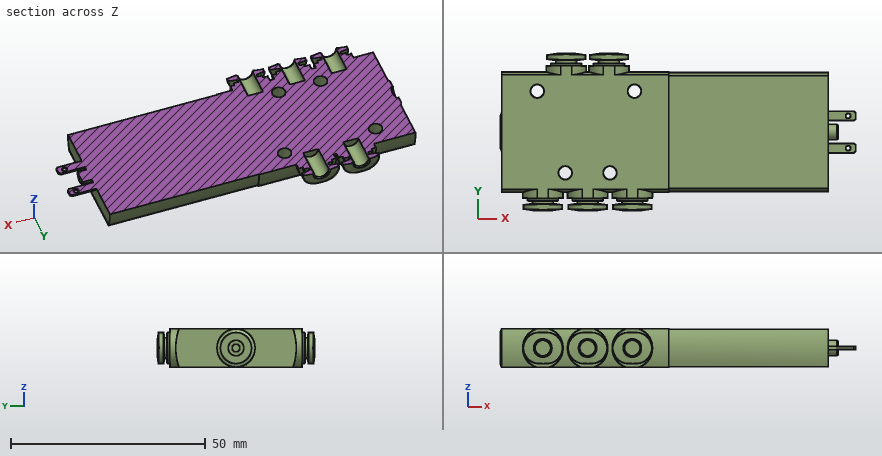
import cadquery as cq
import math

BODY_LENGTH = 43.0
BODY_HEIGHT = 10.0
BODY_SIDE_RADIUS = 15.5
BODY_FLAT_HALF_WIDTH = math.sqrt(BODY_SIDE_RADIUS**2 - (BODY_HEIGHT / 2) ** 2)

SOLENOID_LENGTH = 41.0
SOLENOID_HEIGHT = 9.7
SOLENOID_HALF_WIDTH = 15.35
SOLENOID_FLAT_HALF_WIDTH = 14.45
SOLENOID_END = BODY_LENGTH + SOLENOID_LENGTH

MOUNT_HOLE_DIAMETER = 3.4
MOUNT_HOLE_Y = 10.5
BACK_MOUNT_X = 9.15
BACK_MOUNT_SPACING = 25.0

FITTING_CENTRE_X = 22.1
FRONT_FITTING_PITCH = 11.5
BACK_FITTING_PITCH = 11.0
FITTING_TIP = 20.2
BOSS_DIAMETER = 10.4
BOSS_END = 17.0
SEAT_DIAMETER = 8.0
SEAT_END = 17.75
SEAT_CHAMFER = 0.25
NECK_DIAMETER = 5.4
COLLAR_START = 18.4
COLLAR_SLOPE = 0.15
COLLAR_WIDTH = 10.0
COLLAR_HEIGHT = 8.0
TUBE_DIAMETER = 4.0
TUBE_DEPTH = 8.0
MOUTH_DIAMETER = 4.7
MOUTH_CHAMFER = (MOUTH_DIAMETER - TUBE_DIAMETER) / 2

PLUG_DIAMETER = 9.8
PLUG_FACE_DIAMETER = 8.0
PLUG_PROTRUSION = 0.4
PLUG_RECESS_DIAMETER = 4.0
PLUG_RECESS_DEPTH = 0.6
PLUG_BORE_DIAMETER = 2.0
PLUG_BORE_DEPTH = 0.8

STUB_DIAMETER = 4.0
STUB_LENGTH = 2.5
STUB_CHAMFER = 0.3
TERMINAL_LENGTH = 7.1
TERMINAL_WIDTH = 2.5
TERMINAL_THICKNESS = 0.8
TERMINAL_SPACING = 8.3
TERMINAL_CORNER = 0.5
TERMINAL_HOLE_DIAMETER = 1.2
TERMINAL_HOLE_FROM_TIP = 2.0

OVERLAP = 1.0


def barrel_slab(start_x, length, height, half_width, flat_half_width):
    """Slab along +X with flat top and bottom and arc-shaped long sides."""
    half_height = height / 2
    return (
        cq.Workplane("YZ", origin=(start_x, 0, 0))
        .moveTo(-flat_half_width, half_height)
        .lineTo(flat_half_width, half_height)
        .threePointArc((half_width, 0), (flat_half_width, -half_height))
        .lineTo(-flat_half_width, -half_height)
        .threePointArc((-half_width, 0), (-flat_half_width, half_height))
        .close()
        .extrude(length)
    )


def cylinder_x(start_x, diameter, length):
    """Cylinder on the X axis running toward +X."""
    return cq.Workplane("YZ", origin=(start_x, 0, 0)).circle(diameter / 2).extrude(length)


def mounting_holes():
    """Two hole pairs, one along each long side."""
    front_x = [FITTING_CENTRE_X - FRONT_FITTING_PITCH / 2, FITTING_CENTRE_X + FRONT_FITTING_PITCH / 2]
    back_x = [BACK_MOUNT_X, BACK_MOUNT_X + BACK_MOUNT_SPACING]
    centres = [(x, -MOUNT_HOLE_Y) for x in front_x] + [(x, MOUNT_HOLE_Y) for x in back_x]
    return (
        cq.Workplane("XY", origin=(0, 0, -BODY_HEIGHT / 2))
        .pushPoints(centres)
        .circle(MOUNT_HOLE_DIAMETER / 2)
        .extrude(BODY_HEIGHT)
    )


def disc_front(start, end, diameter):
    """Cylinder pointing to -Y between two distances from the XZ plane."""
    return cq.Workplane("XZ", origin=(0, -start, 0)).circle(diameter / 2).extrude(end - start)


def fitting():
    """Fitting at X = 0 on the -Y side, without its bore."""
    root = BODY_FLAT_HALF_WIDTH - OVERLAP
    boss = disc_front(root, BOSS_END, BOSS_DIAMETER)
    boss = boss.intersect(cq.Workplane("XY").box(BOSS_DIAMETER, 2 * BOSS_END, BODY_HEIGHT))
    seat = disc_front(root, SEAT_END, SEAT_DIAMETER).faces("<Y").chamfer(SEAT_CHAMFER)
    neck = disc_front(root, COLLAR_START + OVERLAP, NECK_DIAMETER)
    return boss.union(seat).union(neck).union(collar())


def collar():
    """Release collar: a disc with shallow conical faces, trimmed to an oblong."""
    rim = COLLAR_WIDTH / 2
    neck = NECK_DIAMETER / 2
    mouth = MOUTH_DIAMETER / 2
    rim_start = COLLAR_START + COLLAR_SLOPE * (rim - neck)
    rim_end = FITTING_TIP - COLLAR_SLOPE * (rim - mouth)
    disc = (
        cq.Workplane("XY")
        .moveTo(0, -COLLAR_START)
        .lineTo(neck, -COLLAR_START)
        .lineTo(rim, -rim_start)
        .lineTo(rim, -rim_end)
        .lineTo(mouth, -FITTING_TIP)
        .lineTo(0, -FITTING_TIP)
        .close()
        .revolve(360, (0, 0, 0), (0, 1, 0))
    )
    oblong = cq.Workplane("XZ").slot2D(COLLAR_WIDTH, COLLAR_HEIGHT).extrude(FITTING_TIP)
    return disc.intersect(oblong)


def tube_bore():
    """Blind tube bore with a chamfered mouth, for the fitting at X = 0 on the -Y side."""
    bore = disc_front(FITTING_TIP - TUBE_DEPTH, FITTING_TIP, TUBE_DIAMETER)
    mouth = (
        cq.Workplane("XZ", origin=(0, -FITTING_TIP, 0))
        .circle(MOUTH_DIAMETER / 2)
        .workplane(offset=-MOUTH_CHAMFER)
        .circle(TUBE_DIAMETER / 2)
        .loft()
    )
    return bore.union(mouth)


def place_fittings(piece):
    """Three copies along the -Y side and two turned copies along +Y."""
    placed = cq.Workplane("XY")
    for step in (-1, 0, 1):
        placed = placed.add(piece.translate((FITTING_CENTRE_X + step * FRONT_FITTING_PITCH, 0, 0)))
    turned = piece.rotate((0, 0, 0), (0, 0, 1), 180)
    for step in (-0.5, 0.5):
        placed = placed.add(turned.translate((FITTING_CENTRE_X + step * BACK_FITTING_PITCH, 0, 0)))
    return placed.combine()


def plug():
    """Cone frustum standing on the end face of the body."""
    return (
        cq.Workplane("YZ")
        .circle(PLUG_DIAMETER / 2)
        .workplane(offset=-PLUG_PROTRUSION)
        .circle(PLUG_FACE_DIAMETER / 2)
        .loft()
    )


def terminal():
    """Flat blade, pierced near its tip, with clipped corners."""
    blade = (
        cq.Workplane("XY")
        .box(TERMINAL_LENGTH + OVERLAP, TERMINAL_WIDTH, TERMINAL_THICKNESS, centered=(False, True, True))
        .translate((SOLENOID_END - OVERLAP, 0, 0))
    )
    blade = blade.edges("|Z and >X").chamfer(TERMINAL_CORNER)
    hole_x = SOLENOID_END + TERMINAL_LENGTH - TERMINAL_HOLE_FROM_TIP
    hole = (
        cq.Workplane("XY", origin=(hole_x, 0, -TERMINAL_THICKNESS))
        .circle(TERMINAL_HOLE_DIAMETER / 2)
        .extrude(2 * TERMINAL_THICKNESS)
    )
    return blade.cut(hole)


body = barrel_slab(0, BODY_LENGTH, BODY_HEIGHT, BODY_SIDE_RADIUS, BODY_FLAT_HALF_WIDTH)
body = body.cut(mounting_holes())
body = body.union(place_fittings(fitting())).cut(place_fittings(tube_bore()))

plug_recess = cylinder_x(-PLUG_PROTRUSION, PLUG_RECESS_DIAMETER, PLUG_RECESS_DEPTH)
plug_bore = cylinder_x(-PLUG_PROTRUSION, PLUG_BORE_DIAMETER, PLUG_BORE_DEPTH)
body = body.union(plug()).cut(plug_recess).cut(plug_bore)

solenoid = barrel_slab(
    BODY_LENGTH, SOLENOID_LENGTH, SOLENOID_HEIGHT, SOLENOID_HALF_WIDTH, SOLENOID_FLAT_HALF_WIDTH
)
stub = cylinder_x(SOLENOID_END, STUB_DIAMETER, STUB_LENGTH).faces(">X").chamfer(STUB_CHAMFER)
solenoid = solenoid.union(stub)
for side in (-1, 1):
    solenoid = solenoid.union(terminal().translate((0, side * TERMINAL_SPACING / 2, 0)))

result = body.union(solenoid)